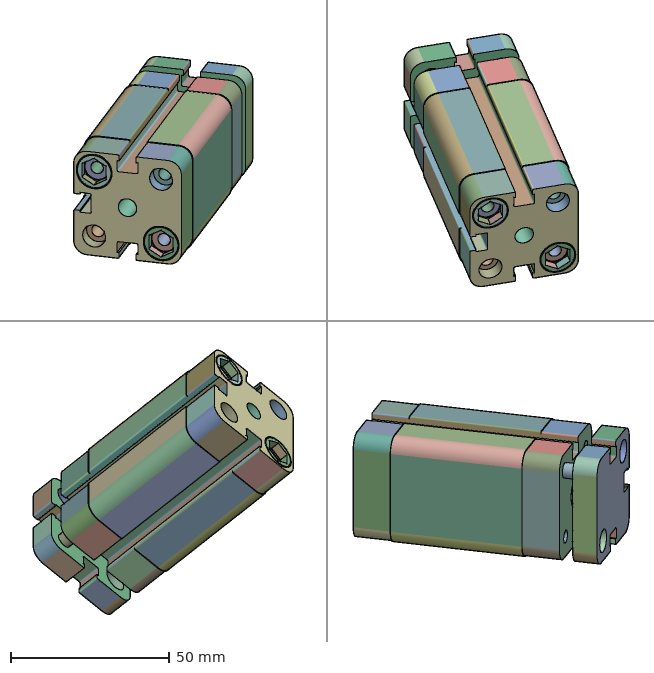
import cadquery as cq
TOTAL_LENGTH = 80.5
CAP_LENGTH = 12.3
BODY_LENGTH = 68.1
PLATE_LENGTH = 8.05

BARREL_WIDTH = 36.1
CAP_WIDTH = 35.5
CORNER_CENTER = 13.3

SLOT_MOUTH = 5.55
SLOT_WIDTH = 6.8
SLOT_LIP_INNER = 15.7
SLOT_FLOOR = 12.0
SLOT_FILLET = 0.5

HOLE_OFFSET = 11.0
CENTER_HOLE_DIAMETER = 6.0
CENTER_HOLE_DEPTH = 12.1
SIDE_HOLE_DIAMETER = 7.5
SIDE_HOLE_DEPTH = 4.5
SCREW_HOLE_DIAMETER = 4.1
BLIND_SCREW_HOLE_DEPTH = 24.15

HEX_FLATS = 8.0
HEX_DEPTH = 3.0
SOCKET_DIAMETER = 8.0
SOCKET_DEPTH = 3.5
GROOVE_OUTER_DIAMETER = 11.7
GROOVE_INNER_DIAMETER = 11.1
GROOVE_DEPTH = 0.5

ROD_DIAMETER = 10.0
ROD_END_FILLET = 1.1
ROD_FLATS = 8.1
ROD_FLAT_LENGTH = 3.5
GUIDE_DIAMETER = 5.0
GUIDE_OFFSET = 12.0
PLATE_HOLE_DIAMETER = 7.5

SCREW_SIDES = [(-1, 1), (1, -1)]
GUIDE_SIDES = [(1, 1), (-1, -1)]

PLATE_START = TOTAL_LENGTH - PLATE_LENGTH


def at_offset(sides, offset):
    return [(x_side * offset, z_side * offset) for x_side, z_side in sides]


def section_at(y):
    """Sketch plane across the axis at y: local x is X, local y is Z, extrusion runs toward -Y."""
    return cq.Workplane("XZ", origin=(0, y, 0))


def cylinders(points, diameter, start, end):
    return section_at(start).pushPoints(points).circle(diameter / 2).extrude(start - end)


def slot_cutter():
    """T-slot opening toward +Z over the whole length."""
    half_mouth = SLOT_MOUTH / 2
    half_width = SLOT_WIDTH / 2
    outside = BARREL_WIDTH
    outline = [
        (-half_width, SLOT_FLOOR),
        (half_width, SLOT_FLOOR),
        (half_width, SLOT_LIP_INNER),
        (half_mouth, SLOT_LIP_INNER),
        (half_mouth, outside),
        (-half_mouth, outside),
        (-half_mouth, SLOT_LIP_INNER),
        (-half_width, SLOT_LIP_INNER),
    ]
    slot = section_at(0).polyline(outline).close().extrude(-TOTAL_LENGTH)
    return slot.faces("<Z").edges("|Y").fillet(SLOT_FILLET)


def slotted_block(width, start, end):
    """Square block with rounded corners and T-slots toward +Z, -X and -Z."""
    block = section_at(start).rect(width, width).extrude(start - end)
    block = block.edges("|Y").fillet(width / 2 - CORNER_CENTER)
    for angle in (0, -90, 180):
        block = block.cut(slot_cutter().rotate((0, 0, 0), (0, 1, 0), angle))

    face = width / 2
    lip = SLOT_MOUTH / 2
    middle = (start + end) / 2
    for x, z in [(lip, face), (-lip, face), (lip, -face), (-lip, -face), (-face, lip), (-face, -lip)]:
        lip_edge = cq.NearestToPointSelector((x, middle, z))
        block = block.edges(lip_edge).fillet(SLOT_FILLET)
    return block


def cut_front_holes(body):
    body = body.cut(cylinders([(0, 0)], CENTER_HOLE_DIAMETER, 0, CENTER_HOLE_DEPTH))

    blind_points = at_offset(GUIDE_SIDES, HOLE_OFFSET)
    body = body.cut(cylinders(blind_points, SIDE_HOLE_DIAMETER, 0, SIDE_HOLE_DEPTH))
    body = body.cut(cylinders(blind_points, SCREW_HOLE_DIAMETER, 0, BLIND_SCREW_HOLE_DEPTH))

    screw_points = at_offset(SCREW_SIDES, HOLE_OFFSET)
    body = body.cut(cylinders(screw_points, SCREW_HOLE_DIAMETER, 0, BODY_LENGTH))
    body = body.cut(cylinders(screw_points, SOCKET_DIAMETER, 0, SOCKET_DEPTH))
    for x, z in screw_points:
        hexagon = section_at(0).polygon(6, HEX_FLATS, circumscribed=True).extrude(-HEX_DEPTH)
        body = body.cut(hexagon.translate((x, 0, z)))
    groove = cylinders(screw_points, GROOVE_OUTER_DIAMETER, 0, GROOVE_DEPTH)
    return body.cut(groove.cut(cylinders(screw_points, GROOVE_INNER_DIAMETER, 0, GROOVE_DEPTH)))


def piston_rod():
    """Stub with a rounded end and two wrench flats that run out at 45 degrees."""
    radius = ROD_DIAMETER / 2
    rod = cylinders([(0, 0)], ROD_DIAMETER, BODY_LENGTH, PLATE_START)
    rod = rod.faces(">Y").edges().fillet(ROD_END_FILLET)

    flat = ROD_FLATS / 2
    flat_start = PLATE_START - ROD_FLAT_LENGTH
    runout = 2 * (radius - flat)
    flat_outline = [
        (flat, PLATE_START),
        (flat, flat_start),
        (flat + runout, flat_start - runout),
        (flat + runout, PLATE_START),
    ]
    flat_cutter = cq.Workplane("XY").polyline(flat_outline).close().extrude(radius, both=True)
    return rod.cut(flat_cutter).cut(flat_cutter.mirror("YZ"))


def cylinder_body():
    rear_cap_start = BODY_LENGTH - CAP_LENGTH
    body = slotted_block(CAP_WIDTH, 0, CAP_LENGTH)
    body = body.union(slotted_block(BARREL_WIDTH, CAP_LENGTH, rear_cap_start))
    body = body.union(slotted_block(CAP_WIDTH, rear_cap_start, BODY_LENGTH))
    return cut_front_holes(body)


def end_plate():
    plate = slotted_block(CAP_WIDTH, PLATE_START, TOTAL_LENGTH)
    screw_points = at_offset(SCREW_SIDES, HOLE_OFFSET)
    return plate.cut(cylinders(screw_points, PLATE_HOLE_DIAMETER, PLATE_START, TOTAL_LENGTH))


guide_rods = cylinders(at_offset(GUIDE_SIDES, GUIDE_OFFSET), GUIDE_DIAMETER, BODY_LENGTH, PLATE_START)
result = cylinder_body().union(end_plate()).union(piston_rod()).union(guide_rods)